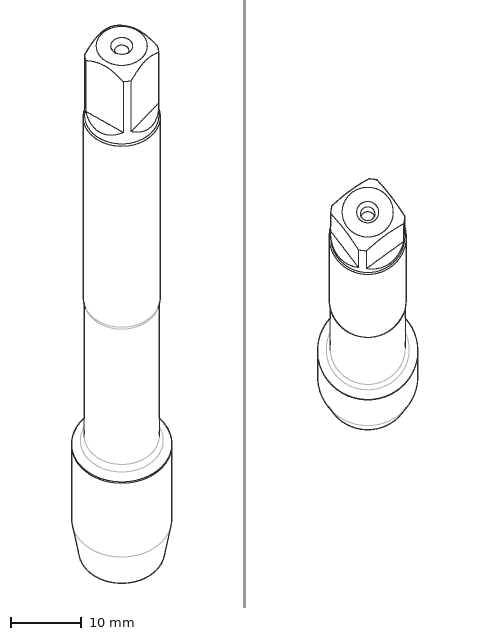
import cadquery as cq

overall_length = 110.0

thread_diameter = 14.16
tip_diameter = 12.2
lead_length = 6.9
head_length = 23.0

collar_top = 23.3
flare_bottom_diameter = 11.7
flare_bottom = 24.0
flare_top = 25.0
neck_diameter = 10.6
shank_diameter = 10.9
shank_bottom = 54.5
shank_top = 94.8
shank_bottom_chamfer_height = 0.6
shank_top_chamfer_height = 0.25

drive_diameter = 10.46
square_width = 8.15
square_length = 12.7
drive_top_diameter = 7.2
drive_chamfer_height = (drive_diameter - drive_top_diameter) / 2

centre_hole_diameter = 2.0
centre_hole_mouth_diameter = 3.1
centre_hole_mouth_depth = 1.0
centre_hole_depth = 4.0
centre_hole_tip_length = 0.6


def turned(profile):
    """Revolve a stack of (diameter, height) steps, listed from the bottom up, about Z."""
    outline = [(diameter / 2, height) for diameter, height in profile]
    outline.append((0, profile[-1][1]))
    if profile[0][0] > 0:
        outline.append((0, profile[0][1]))
    return cq.Workplane("XZ").polyline(outline).close().revolve(360, (0, 0, 0), (0, 1, 0))


def make_head():
    """Threaded head: tapered lead below the thread cylinder."""
    return turned([
        (tip_diameter, 0),
        (thread_diameter, lead_length),
        (thread_diameter, head_length),
    ])


def make_square_envelope():
    """Square prism flaring out at 45 degrees below the flats, wide enough to clear the shank."""
    square_bottom = overall_length - square_length
    flare = thread_diameter - square_width
    wide = square_width + 2 * flare
    prism = (
        cq.Workplane("XY", origin=(0, 0, square_bottom))
        .rect(square_width, square_width)
        .extrude(square_length)
    )
    transition = (
        cq.Workplane("XY", origin=(0, 0, square_bottom - flare))
        .rect(wide, wide)
        .workplane(offset=flare)
        .rect(square_width, square_width)
        .loft(ruled=True)
    )
    base = (
        cq.Workplane("XY")
        .rect(wide, wide)
        .extrude(square_bottom - flare)
    )
    return base.union(transition).union(prism)


def make_centre_hole():
    """Countersunk blind hole with a conical drill tip."""
    return turned([
        (0, overall_length - centre_hole_depth - centre_hole_tip_length),
        (centre_hole_diameter, overall_length - centre_hole_depth),
        (centre_hole_diameter, overall_length - centre_hole_mouth_depth),
        (centre_hole_mouth_diameter, overall_length),
    ])


def make_shank():
    """Collar, neck, full-diameter shank and driving square, standing on top of the head."""
    body = (
        cq.Workplane("XZ")
        .moveTo(0, overall_length)
        .lineTo(drive_top_diameter / 2, overall_length)
        .lineTo(drive_diameter / 2, overall_length - drive_chamfer_height)
        .lineTo(drive_diameter / 2, shank_top)
        .lineTo(shank_diameter / 2, shank_top - shank_top_chamfer_height)
        .lineTo(shank_diameter / 2, shank_bottom + shank_bottom_chamfer_height)
        .lineTo(neck_diameter / 2, shank_bottom)
        .lineTo(neck_diameter / 2, flare_top)
        .tangentArcPoint((flare_bottom_diameter / 2, flare_bottom), relative=False)
        .lineTo(thread_diameter / 2, collar_top)
        .lineTo(thread_diameter / 2, head_length)
        .lineTo(0, head_length)
        .close()
        .revolve(360, (0, 0, 0), (0, 1, 0))
    )
    return body.intersect(make_square_envelope()).cut(make_centre_hole())


head = make_head()
shank = make_shank()

result = cq.Compound.makeCompound([head.val(), shank.solids().val()])